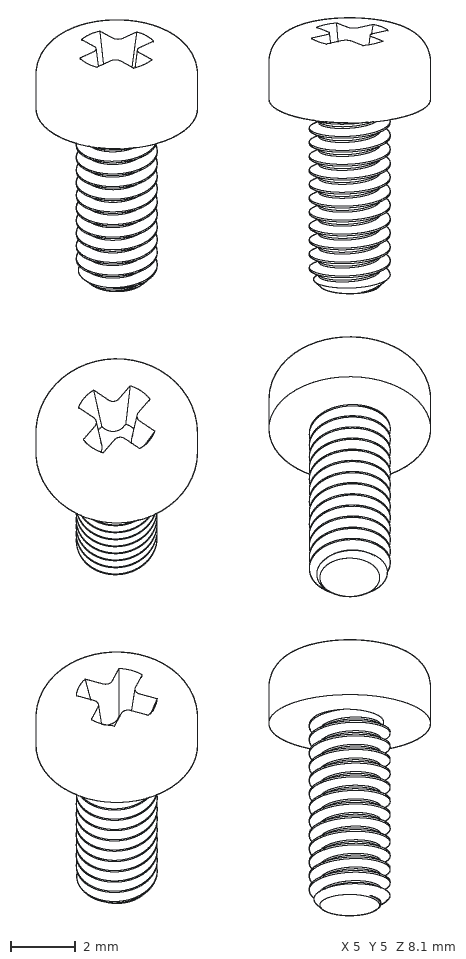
import cadquery as cq
import math

total_length = 8.1
head_diameter = 5.0
head_height = 2.1
head_rounding = 0.9
shank_length = total_length - head_height

thread_diameter = 2.5
core_diameter = 1.92
pitch_to_diameter = 0.18
pitch = pitch_to_diameter * thread_diameter
crest_width = pitch / 8
flank_half_angle = math.radians(30)
crest_height_at_x_axis = 0.365
core_overlap = 0.02
ridge_overrun = 2 * pitch
envelope_margin = 0.04

tip_diameter = 1.85
tip_chamfer = (thread_diameter - tip_diameter) / 2

recess_depth = 1.6
recess_top_radius = thread_diameter / 2
recess_floor_radius = 0.76
wing_count = 4
wing_top_width = 0.77
wing_floor_width = 0.41
corner_center = 0.61


def make_head():
    return (
        cq.Workplane("XY")
        .circle(head_diameter / 2)
        .extrude(head_height)
        .faces(">Z")
        .edges()
        .fillet(head_rounding)
    )


def make_thread_ridge():
    """Helical ridge that overruns the shank at both ends."""
    base_radius = core_diameter / 2 - core_overlap
    crest_radius = thread_diameter / 2
    half_crest = crest_width / 2
    half_base = half_crest + (crest_radius - base_radius) * math.tan(flank_half_angle)
    start_height = crest_height_at_x_axis - shank_length - ridge_overrun
    helix = cq.Wire.makeHelix(pitch, shank_length + 2 * ridge_overrun, base_radius)
    profile = (
        cq.Workplane("XZ")
        .moveTo(base_radius, -half_base)
        .lineTo(crest_radius, -half_crest)
        .lineTo(crest_radius, half_crest)
        .lineTo(base_radius, half_base)
        .close()
    )
    ridge = profile.sweep(cq.Workplane(helix), isFrenet=True)
    return ridge.translate((0, 0, start_height))


def make_shank():
    core_overrun = 2 * ridge_overrun
    core = (
        cq.Workplane("XY", origin=(0, 0, core_overrun))
        .circle(core_diameter / 2)
        .extrude(-shank_length - 2 * core_overrun)
    )
    envelope = (
        cq.Workplane("XY")
        .circle(thread_diameter / 2 + envelope_margin)
        .extrude(-shank_length)
        .faces("<Z")
        .edges()
        .chamfer(tip_chamfer + envelope_margin)
    )
    return core.union(make_thread_ridge()).intersect(envelope)


def cross_outline(height, tip_radius, wing_width):
    """Closed four-winged outline with rounded tips and rounded inner corners."""
    half_width = wing_width / 2
    tip_x = math.sqrt(tip_radius**2 - half_width**2)
    corner_radius = corner_center - half_width
    corner_middle = corner_center - corner_radius * math.cos(math.radians(45))
    edges = []
    for wing in range(wing_count):
        wing_edges = [
            cq.Edge.makeThreePointArc(
                cq.Vector(tip_x, -half_width, height),
                cq.Vector(tip_radius, 0, height),
                cq.Vector(tip_x, half_width, height),
            ),
            cq.Edge.makeLine(
                cq.Vector(tip_x, half_width, height),
                cq.Vector(corner_center, half_width, height),
            ),
            cq.Edge.makeThreePointArc(
                cq.Vector(corner_center, half_width, height),
                cq.Vector(corner_middle, corner_middle, height),
                cq.Vector(half_width, corner_center, height),
            ),
            cq.Edge.makeLine(
                cq.Vector(half_width, corner_center, height),
                cq.Vector(half_width, tip_x, height),
            ),
        ]
        for edge in wing_edges:
            edges.append(edge.rotate(cq.Vector(0, 0, 0), cq.Vector(0, 0, 1), wing * 360 / wing_count))
    return cq.Wire.assembleEdges(edges)


def make_recess():
    floor = cross_outline(head_height - recess_depth, recess_floor_radius, wing_floor_width)
    opening = cross_outline(head_height, recess_top_radius, wing_top_width)
    return cq.Workplane(cq.Solid.makeLoft([floor, opening], True))


result = make_head().cut(make_recess()).union(make_shank())